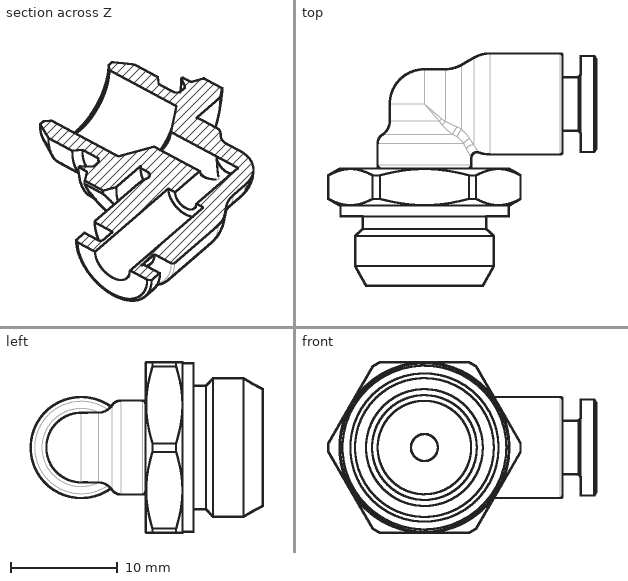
import cadquery as cq
import math


ELBOW_RADIUS = 3.26
SEAM_FILLET = 0.5
SEAM_REACH = 5.52

COLLAR_DIAMETER = 8.8
COLLAR_FLARE_START = 1.6
COLLAR_HOLLOW_RADIUS = 1.5
COLLAR_SHOULDER_RADIUS = 1.0
COLLAR_ROUNDING = 0.3

PORT_DIAMETER = 9.5
PORT_FLARE_START = 1.95
PORT_FLARE_RADIUS = 3.0
PORT_FLARE_ANGLE = math.radians(30)
PORT_END = 12.93
PORT_ROUNDING = 0.23

COLLET_NECK_DIAMETER = 5.05
COLLET_HEAD_DIAMETER = 9.0
COLLET_HEAD_START = 14.6
COLLET_END = 16.1
COLLET_ROOT_CHAMFER = 0.2
COLLET_CHAMFER_LENGTH = 0.2
COLLET_CHAMFER_DEPTH = 0.35

HEX_SIDES = 6
HEX_ACROSS_FLATS = 16.0
HEX_CORNER_DIAMETER = 18.02
HEX_START = 6.02
HEX_END = 9.5
HEX_CHAMFER_ANGLE = math.radians(30)
HEX_ELBOW_SIDE_CHAMFER = 0.65
HEX_STUD_SIDE_CHAMFER = 0.6

FLANGE_DIAMETER = 15.8
FLANGE_END = 10.52
FLANGE_RIM_WIDTH = 0.23
SEAL_RECESS_TAPER = 0.73
STUD_ROOT_CHAMFER = 0.33
STUD_NECK_DIAMETER = 11.6
STUD_DIAMETER = 13.0
STUD_NECK_END = 11.7
STUD_SHOULDER_END = 12.35
STUD_TAPER_START = 15.19
STUD_END = 17.02
STUD_TIP_RADIUS = 5.47

PASSAGE_DIAMETER = 2.5
STUD_BORE_DIAMETER = 8.75
STUD_BORE_END = 8.53
STUD_BORE_CHAMFER = 0.53
DRILL_POINT_ANGLE = math.radians(30)
TUBE_DIAMETER = 4.15
TUBE_STOP = 5.02


def turn_about_x(profile):
    """Revolve an (x, radius) outline about the X axis."""
    return profile.close().revolve(360, (0, 0, 0), (1, 0, 0))


def turn_about_y(profile):
    """Revolve a (radius, -distance) outline about the Y axis."""
    return profile.close().revolve(360, (0, 0, 0), (0, 1, 0))


def make_collar_arm():
    radius = COLLAR_DIAMETER / 2
    arc_sum = COLLAR_HOLLOW_RADIUS + COLLAR_SHOULDER_RADIUS
    sweep = math.acos(1 - (radius - ELBOW_RADIUS) / arc_sum)
    middle_radius = ELBOW_RADIUS + COLLAR_HOLLOW_RADIUS * (1 - math.cos(sweep))
    middle_distance = COLLAR_FLARE_START + COLLAR_HOLLOW_RADIUS * math.sin(sweep)
    flare_end = COLLAR_FLARE_START + arc_sum * math.sin(sweep)
    profile = (
        cq.Workplane("XY")
        .lineTo(ELBOW_RADIUS, 0)
        .lineTo(ELBOW_RADIUS, -COLLAR_FLARE_START)
        .radiusArc((middle_radius, -middle_distance), -COLLAR_HOLLOW_RADIUS)
        .radiusArc((radius, -flare_end), COLLAR_SHOULDER_RADIUS)
        .lineTo(radius, -HEX_START + COLLAR_ROUNDING)
        .radiusArc((radius - COLLAR_ROUNDING, -HEX_START), COLLAR_ROUNDING)
        .lineTo(0, -HEX_START)
    )
    return turn_about_y(profile)


def make_port_arm():
    radius = PORT_DIAMETER / 2
    arc_length = PORT_FLARE_RADIUS * math.sin(PORT_FLARE_ANGLE)
    arc_rise = PORT_FLARE_RADIUS * (1 - math.cos(PORT_FLARE_ANGLE))
    cone_rise = radius - ELBOW_RADIUS - 2 * arc_rise
    cone_start = PORT_FLARE_START + arc_length
    cone_end = cone_start + cone_rise / math.tan(PORT_FLARE_ANGLE)
    profile = (
        cq.Workplane("XY")
        .lineTo(0, ELBOW_RADIUS)
        .lineTo(PORT_FLARE_START, ELBOW_RADIUS)
        .radiusArc((cone_start, ELBOW_RADIUS + arc_rise), -PORT_FLARE_RADIUS)
        .lineTo(cone_end, radius - arc_rise)
        .radiusArc((cone_end + arc_length, radius), PORT_FLARE_RADIUS)
        .lineTo(PORT_END - PORT_ROUNDING, radius)
        .radiusArc((PORT_END, radius - PORT_ROUNDING), PORT_ROUNDING)
        .lineTo(PORT_END, 0)
    )
    return turn_about_x(profile)


def make_elbow():
    """Join both arms, round the seam on the inside of the bend and close the outside with a ball."""
    arms = make_collar_arm().union(make_port_arm())
    seam_zone = cq.selectors.BoxSelector((0, 0, -ELBOW_RADIUS), (SEAM_REACH, -SEAM_REACH, ELBOW_RADIUS))
    seam = arms.edges("(not %CIRCLE) and (not %LINE)").edges(seam_zone)
    return seam.fillet(SEAM_FILLET).union(cq.Workplane("XY").sphere(ELBOW_RADIUS))


def make_collet():
    neck_radius = COLLET_NECK_DIAMETER / 2
    head_radius = COLLET_HEAD_DIAMETER / 2
    profile = (
        cq.Workplane("XY")
        .moveTo(PORT_END, 0)
        .lineTo(PORT_END, neck_radius)
        .lineTo(COLLET_HEAD_START - COLLET_ROOT_CHAMFER, neck_radius)
        .lineTo(COLLET_HEAD_START, neck_radius + COLLET_ROOT_CHAMFER)
        .lineTo(COLLET_HEAD_START, head_radius)
        .lineTo(COLLET_END - COLLET_CHAMFER_LENGTH, head_radius)
        .lineTo(COLLET_END, head_radius - COLLET_CHAMFER_DEPTH)
        .lineTo(COLLET_END, 0)
    )
    return turn_about_x(profile)


def make_hexagon():
    corner_radius = HEX_CORNER_DIAMETER / 2
    prism = (
        cq.Workplane("XZ", origin=(0, -HEX_START, 0))
        .polygon(HEX_SIDES, HEX_ACROSS_FLATS / math.cos(math.pi / HEX_SIDES))
        .extrude(HEX_END - HEX_START)
    )
    elbow_face_radius = corner_radius - HEX_ELBOW_SIDE_CHAMFER / math.tan(HEX_CHAMFER_ANGLE)
    stud_face_radius = corner_radius - HEX_STUD_SIDE_CHAMFER / math.tan(HEX_CHAMFER_ANGLE)
    envelope = (
        cq.Workplane("XY")
        .moveTo(0, -HEX_START)
        .lineTo(elbow_face_radius, -HEX_START)
        .lineTo(corner_radius, -HEX_START - HEX_ELBOW_SIDE_CHAMFER)
        .lineTo(corner_radius, -HEX_END + HEX_STUD_SIDE_CHAMFER)
        .lineTo(stud_face_radius, -HEX_END)
        .lineTo(0, -HEX_END)
    )
    return prism.intersect(turn_about_y(envelope))


def make_flange():
    """Sealing flange, hollowed by a conical recess that reaches back to the hexagon."""
    outer_radius = FLANGE_DIAMETER / 2
    recess_radius = outer_radius - FLANGE_RIM_WIDTH
    profile = (
        cq.Workplane("XY")
        .moveTo(recess_radius - SEAL_RECESS_TAPER, -HEX_END)
        .lineTo(outer_radius, -HEX_END)
        .lineTo(outer_radius, -FLANGE_END)
        .lineTo(recess_radius, -FLANGE_END)
    )
    return turn_about_y(profile)


def make_stud():
    neck_radius = STUD_NECK_DIAMETER / 2
    stud_radius = STUD_DIAMETER / 2
    profile = (
        cq.Workplane("XY")
        .moveTo(0, -HEX_END)
        .lineTo(neck_radius + STUD_ROOT_CHAMFER, -HEX_END)
        .lineTo(neck_radius, -HEX_END - STUD_ROOT_CHAMFER)
        .lineTo(neck_radius, -STUD_NECK_END)
        .lineTo(stud_radius, -STUD_SHOULDER_END)
        .lineTo(stud_radius, -STUD_TAPER_START)
        .lineTo(STUD_TIP_RADIUS, -STUD_END)
        .lineTo(0, -STUD_END)
    )
    return turn_about_y(profile)


def make_stud_passage():
    bore_radius = STUD_BORE_DIAMETER / 2
    passage_radius = PASSAGE_DIAMETER / 2
    cone_depth = (bore_radius - passage_radius) * math.tan(DRILL_POINT_ANGLE)
    profile = (
        cq.Workplane("XY")
        .lineTo(passage_radius, 0)
        .lineTo(passage_radius, -STUD_BORE_END + cone_depth)
        .lineTo(bore_radius, -STUD_BORE_END)
        .lineTo(bore_radius, -STUD_END + STUD_BORE_CHAMFER)
        .lineTo(bore_radius + STUD_BORE_CHAMFER, -STUD_END)
        .lineTo(0, -STUD_END)
    )
    return turn_about_y(profile)


def make_tube_passage():
    """Passage from the elbow centre, widening into the socket for the tube."""
    radius = PASSAGE_DIAMETER / 2
    inner = cq.Workplane("YZ", origin=(-radius, 0, 0)).circle(radius).extrude(TUBE_STOP + radius)
    socket = (
        cq.Workplane("YZ", origin=(TUBE_STOP, 0, 0))
        .circle(TUBE_DIAMETER / 2)
        .extrude(COLLET_END - TUBE_STOP)
    )
    return inner.union(socket)


body = make_elbow().union(make_collet()).union(make_hexagon()).union(make_flange()).union(make_stud())
result = body.cut(make_stud_passage()).cut(make_tube_passage())